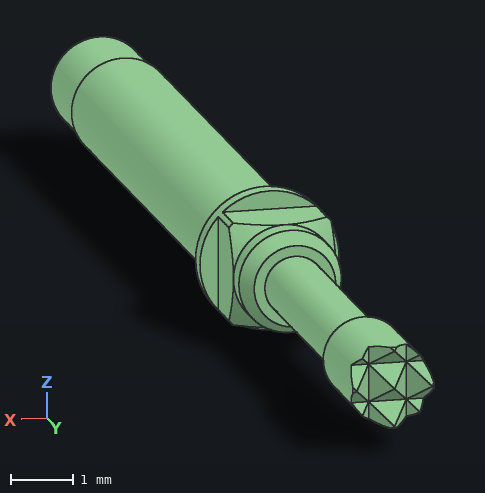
import cadquery as cq


flange_diameter = 2.3
barrel_diameter = 1.7
tail_diameter = 1.6
plunger_diameter = 1.0
head_diameter = 1.35
collar_mouth_diameter = head_diameter

total_length = 19.5
head_length = 2.0
plunger_length = 4.5
collar_cone_length = 0.31
collar_neck_length = 0.35
square_length = 1.0
flange_thickness = 0.3
tail_length = 1.7
tail_chamfer = 0.2

tooth_pitch = 0.62
tooth_depth = 0.47
teeth_across = 3

square_front = square_length
neck_front = square_front + collar_neck_length
collar_front = neck_front + collar_cone_length
head_back = collar_front + plunger_length
tip_end = head_back + head_length
tail_end = tip_end - total_length
tail_front = tail_end + tail_length

flange_radius = flange_diameter / 2
barrel_radius = barrel_diameter / 2
tail_radius = tail_diameter / 2
plunger_radius = plunger_diameter / 2
head_radius = head_diameter / 2
collar_mouth_radius = collar_mouth_diameter / 2

barrel_chamfer = barrel_radius - tail_radius
square_slope = flange_radius - barrel_radius


def turned_body():
    """Revolve the half profile of the whole pin about the Y axis."""
    profile = [
        (0, tail_end),
        (tail_radius - tail_chamfer, tail_end),
        (tail_radius, tail_end + tail_chamfer),
        (tail_radius, tail_front),
        (barrel_radius, tail_front + barrel_chamfer),
        (barrel_radius, -flange_thickness),
        (flange_radius, -flange_thickness),
        (flange_radius, square_front - square_slope),
        (barrel_radius, square_front),
        (barrel_radius, neck_front),
        (collar_mouth_radius, collar_front),
        (plunger_radius, collar_front),
        (plunger_radius, head_back),
        (head_radius, head_back),
        (head_radius, tip_end),
        (0, tip_end),
    ]
    return cq.Workplane("XY").polyline(profile).close().revolve(360, (0, 0, 0), (0, 1, 0))


def square_cutter():
    """Material outside the four flats, which are level with the barrel."""
    outer = cq.Workplane("XY").box(
        2 * flange_diameter, square_length, 2 * flange_diameter, centered=(True, False, True)
    )
    inner = cq.Workplane("XY").box(
        barrel_diameter, square_length, barrel_diameter, centered=(True, False, True)
    )
    return outer.cut(inner)


def groove_along_z(x):
    """V groove across the head, running along Z and centred at x."""
    return (
        cq.Workplane("XY")
        .polyline(
            [
                (x - tooth_pitch / 2, tip_end),
                (x, tip_end - tooth_depth),
                (x + tooth_pitch / 2, tip_end),
            ]
        )
        .close()
        .extrude(head_diameter, both=True)
    )


result = turned_body().cut(square_cutter())

for index in range(teeth_across + 1):
    groove = groove_along_z((index - teeth_across / 2) * tooth_pitch)
    crossing_groove = groove.rotate((0, 0, 0), (0, 1, 0), 90)
    result = result.cut(groove).cut(crossing_groove)